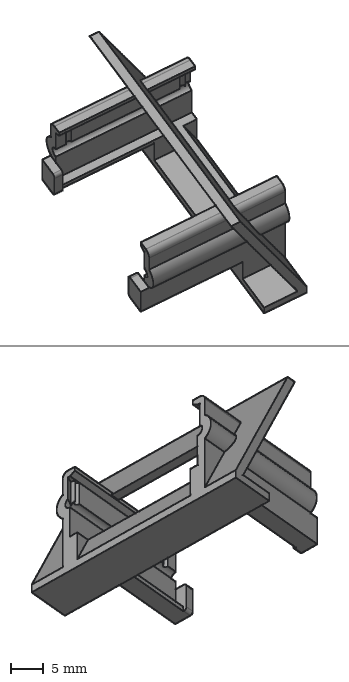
import cadquery as cq
import math

WIDTH = 42.0
HEIGHT = 27.0
DEPTH = 25.87

SHEET = 1.5
BASE_DEPTH = 7.65
LEAN_ANGLE = 25.0
PLATE_RUN = SHEET / math.cos(math.radians(LEAN_ANGLE))
PLATE_LEAN = (HEIGHT - SHEET) * math.tan(math.radians(LEAN_ANGLE))

RAIL_OUTER = 14.6
WALL_INNER = 13.1
LIP_INNER = 12.1
LEDGE_INNER = 11.6
STOP_INNER = 10.95

RAIL_BOTTOM = 5.9
LEDGE_TOP = 6.75
STOP_TOP = 11.1
BULGE_HEIGHT = 13.5
LIP_SLOPE_BOTTOM = 18.65
LIP_SLOPE_TOP = 19.2
WINDOW_TOP = 19.45
RAIL_TOP = 20.0

RAIL_LENGTH = 24.35
RAIL_EDGE_RADIUS = 1.05
BULGE_RADIUS = 2.77
CHANNEL_RADIUS = 0.95
STOP_EDGE_RADIUS = 0.55

NOTCH_RADIUS = 0.45
FRONT_NOTCH_SETBACK = 2.3
REAR_NOTCH_SETBACK = 1.7

RELIEF_LENGTH = 1.18
RELIEF_REAR_DEPTH = 0.4
RELIEF_TAPER = 20.0
RELIEF_FRONT_DEPTH = RELIEF_REAR_DEPTH + RELIEF_LENGTH * math.tan(math.radians(RELIEF_TAPER))


def box(x0, x1, y0, y1, z0, z1):
    """Box between two opposite corners."""
    return cq.Workplane("XY").box(x1 - x0, y1 - y0, z1 - z0, centered=False).translate((x0, y0, z0))


def along_rail(sketch):
    """Extrude a closed XZ outline forward from the rear face to the rail's front end."""
    return sketch.extrude(RAIL_LENGTH)


def face_plate():
    """Base strip and leaning plate in one side outline, with a window between the rails."""
    outline = [
        (0, 0),
        (-BASE_DEPTH, 0),
        (-BASE_DEPTH, SHEET),
        (-PLATE_RUN, SHEET),
        (-PLATE_RUN - PLATE_LEAN, HEIGHT),
        (-PLATE_LEAN, HEIGHT),
        (0, SHEET),
    ]
    plate = cq.Workplane("YZ").polyline(outline).close().extrude(WIDTH / 2, both=True)
    window = box(-WALL_INNER, WALL_INNER, -DEPTH, 0, LEDGE_TOP, WINDOW_TOP)
    return plate.cut(window)


def rail():
    """Right-hand rail: ledge, wall, top lip and bulge, with its leg and front stop."""
    wall = along_rail(
        cq.Workplane("XZ")
        .moveTo(LEDGE_INNER, RAIL_BOTTOM)
        .lineTo(RAIL_OUTER, RAIL_BOTTOM)
        .lineTo(RAIL_OUTER, RAIL_TOP - RAIL_EDGE_RADIUS)
        .radiusArc((RAIL_OUTER - RAIL_EDGE_RADIUS, RAIL_TOP), -RAIL_EDGE_RADIUS)
        .lineTo(LIP_INNER, RAIL_TOP)
        .lineTo(LIP_INNER, LIP_SLOPE_TOP)
        .lineTo(WALL_INNER, LIP_SLOPE_BOTTOM)
        .lineTo(WALL_INNER, LEDGE_TOP)
        .lineTo(LEDGE_INNER, LEDGE_TOP)
        .close()
    )
    bulge = along_rail(
        cq.Workplane("XZ")
        .moveTo(WALL_INNER, BULGE_HEIGHT - BULGE_RADIUS)
        .threePointArc((WALL_INNER + BULGE_RADIUS, BULGE_HEIGHT), (WALL_INNER, BULGE_HEIGHT + BULGE_RADIUS))
        .close()
    )
    leg = box(LEDGE_INNER, RAIL_OUTER, -BASE_DEPTH, 0, 0, RAIL_BOTTOM)
    stop = box(STOP_INNER, RAIL_OUTER, -DEPTH, -RAIL_LENGTH, RAIL_BOTTOM, STOP_TOP)
    stop = stop.edges("|Y and <X").fillet(STOP_EDGE_RADIUS)
    return wall.union(bulge).union(leg).union(stop)


def rail_grooves():
    """Long channel inside the bulge, with the upright notches and the rear relief above it."""
    grooves = along_rail(cq.Workplane("XZ").center(WALL_INNER, BULGE_HEIGHT).circle(CHANNEL_RADIUS))
    notch_height = LIP_SLOPE_BOTTOM - BULGE_HEIGHT
    for y in (-REAR_NOTCH_SETBACK, FRONT_NOTCH_SETBACK - RAIL_LENGTH):
        notch = (
            cq.Workplane("XY", origin=(WALL_INNER, y, BULGE_HEIGHT))
            .circle(NOTCH_RADIUS)
            .extrude(notch_height)
        )
        grooves = grooves.union(notch)
    relief = (
        cq.Workplane("XY", origin=(WALL_INNER, 0, BULGE_HEIGHT))
        .lineTo(RELIEF_REAR_DEPTH, 0)
        .lineTo(RELIEF_FRONT_DEPTH, -RELIEF_LENGTH)
        .lineTo(0, -RELIEF_LENGTH)
        .close()
        .extrude(notch_height)
    )
    return grooves.union(relief)


result = face_plate()
right_rail = rail()
result = result.union(right_rail).union(right_rail.mirror("YZ"))
right_grooves = rail_grooves()
result = result.cut(right_grooves).cut(right_grooves.mirror("YZ"))